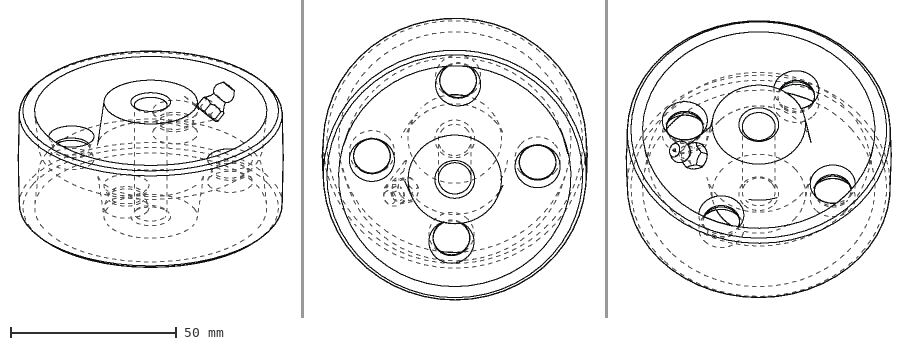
import cadquery as cq

wheel_radius = 40.0
crown_drop = 0.3
rim_half_width = 16.5
rim_chamfer = 1.1
rim_mouth_radius = 35.0
rim_floor_radius = 33.8
web_half_thickness = 3.8
hub_half_length = 19.5
hub_end_radius = 14.1
hub_floor_radius = 16.2
bore_radius = 5.0
bore_chamfer = 1.0
root_fillet = 1.0
selection_margin = 0.1

hole_offset = 17.7
hole_radius = 5.5
hole_mouth_radius = 6.8
hole_land_length = 0.8

seat_reach = 29.8
wedge_width = 13.0
wedge_edge_fillet = 1.5
wedge_start_y = 11.2

nipple_seat_y = 19.1
nipple_seat_z = seat_reach - nipple_seat_y
nipple_tilt = 45.0
hex_across_flats = 7.0
hex_turn = 36.6
hex_flat_height = 3.8
neck_height = 6.2
neck_radius = 2.2
neck_foot_height = 3.2
neck_foot_radius = 4.2
ball_height = 8.1
ball_radius = 3.3
collar_height = 9.4
collar_radius = 3.0
tip_height = 10.7
tip_radius = 2.1
valve_radius = 0.4
valve_rise = 0.2


def revolve_about_z(profile):
    return profile.revolve(360, (0, 0, 0), (0, 1, 0))


def mirrored_below(upper_half):
    """Profile points below z = 0, in reverse order so that they continue the upper half."""
    return [(radius, -z) for radius, z in reversed(upper_half)]


def revolved_wheel():
    tread_edge_radius = wheel_radius - crown_drop
    upper_half = [
        (bore_radius, hub_half_length - bore_chamfer),
        (bore_radius + bore_chamfer, hub_half_length),
        (hub_end_radius, hub_half_length),
        (hub_floor_radius, web_half_thickness),
        (rim_floor_radius, web_half_thickness),
        (rim_mouth_radius, rim_half_width),
        (tread_edge_radius - rim_chamfer, rim_half_width),
        (tread_edge_radius, rim_half_width - rim_chamfer),
    ]
    outline = upper_half + [(wheel_radius, 0)] + mirrored_below(upper_half)
    return revolve_about_z(cq.Workplane("XZ").polyline(outline).close())


def nipple_wedge():
    """Triangular block from the middle of the web up to the sloping seat."""
    outline = [
        (wedge_start_y, 0),
        (seat_reach, 0),
        (wedge_start_y, seat_reach - wedge_start_y),
    ]
    wedge = cq.Workplane("YZ").polyline(outline).close().extrude(wedge_width / 2, both=True)
    return wedge.faces(">(0, 1, 1)").edges("not |X").fillet(wedge_edge_fillet)


def lightening_hole(x, y):
    half_land = hole_land_length / 2
    upper_half = [
        (hole_radius, half_land),
        (hole_mouth_radius, web_half_thickness),
        (0, web_half_thickness),
    ]
    outline = upper_half + mirrored_below(upper_half)
    cutter = revolve_about_z(cq.Workplane("XZ").polyline(outline).close())
    return cutter.translate((x, y, 0))


def web_face_zone(face_z):
    """Selects the edges that lie in one face of the web."""
    return cq.selectors.BoxSelector(
        (-rim_mouth_radius, -rim_mouth_radius, face_z - selection_margin),
        (rim_mouth_radius, rim_mouth_radius, face_z + selection_margin),
        boundingbox=True,
    )


def make_wheel():
    wheel = revolved_wheel().union(nipple_wedge())
    upper_roots = web_face_zone(web_half_thickness)
    lower_roots = web_face_zone(-web_half_thickness)
    wedge_joint_zone = cq.selectors.BoxSelector(
        (-wedge_width, wedge_start_y, web_half_thickness - selection_margin),
        (wedge_width, hub_floor_radius, hub_half_length - selection_margin),
        boundingbox=True,
    )
    wheel = wheel.edges(upper_roots + lower_roots + wedge_joint_zone).fillet(root_fillet)
    for x in (-hole_offset, hole_offset):
        for y in (-hole_offset, hole_offset):
            wheel = wheel.cut(lightening_hole(x, y))
    return wheel


def make_nipple():
    """Turned body with a hexagon at its foot, tilted so that it stands square on the seat."""
    turned_profile = (
        cq.Workplane("XZ")
        .lineTo(hex_across_flats / 2, 0)
        .lineTo(neck_foot_radius, neck_foot_radius - hex_across_flats / 2)
        .lineTo(neck_foot_radius, neck_foot_height)
        .threePointArc((hex_across_flats / 2, hex_flat_height), (neck_radius, neck_height))
        .threePointArc((ball_radius, ball_height), (collar_radius, collar_height))
        .lineTo(tip_radius, tip_height)
        .lineTo(valve_radius, tip_height)
        .lineTo(0, tip_height + valve_rise)
        .close()
    )
    turned = revolve_about_z(turned_profile)
    hex_bar = (
        cq.Workplane("XY")
        .polygon(6, hex_across_flats, circumscribed=True)
        .extrude(tip_height + valve_rise)
        .rotate((0, 0, 0), (0, 0, 1), hex_turn)
    )
    upright = turned.intersect(hex_bar)
    tilted = upright.rotate((0, 0, 0), (1, 0, 0), -nipple_tilt)
    return tilted.translate((0, nipple_seat_y, nipple_seat_z))


wheel = make_wheel()
nipple = make_nipple()
result = cq.Compound.makeCompound([wheel.solids().val(), nipple.solids().val()])